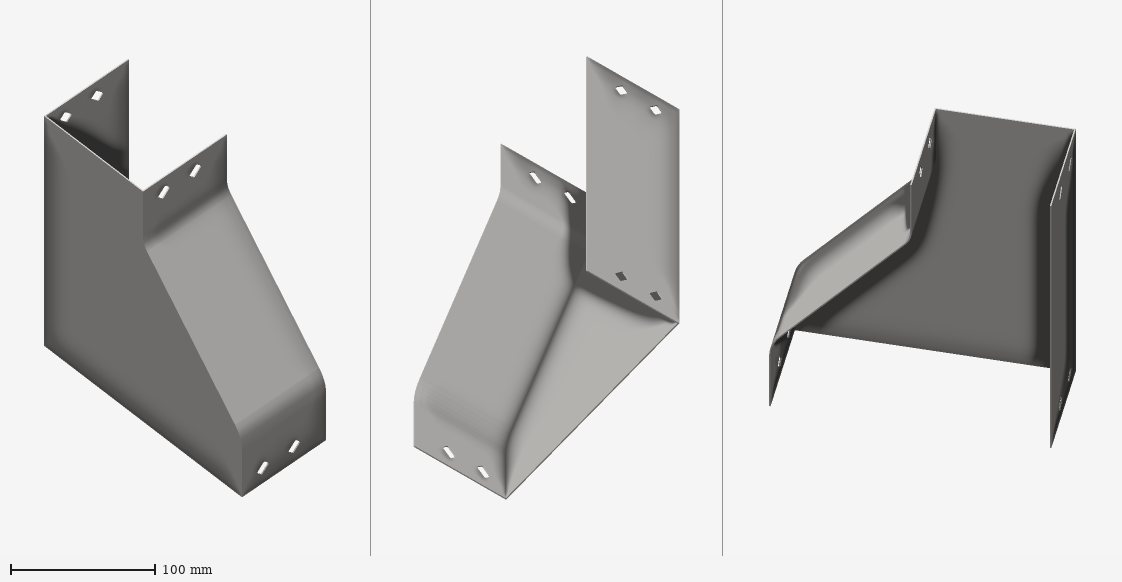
import cadquery as cq
import math

width = 200.0
depth = 80.0
height = 230.0
sheet = 1.0

neck_width = width / 2
lower_corner_z = 58.9
slope_angle = 40.0
upper_corner_z = lower_corner_z + (width - neck_width) / math.tan(math.radians(slope_angle))
neck_radius = 17.0
shoulder_radius = 30.0

slot_width = 7.0
slot_length = 10.0
slot_corner_radius = 1.2
slot_tilt = 45.0
slot_edge_distance = 15.0
lower_slots_z = slot_edge_distance
upper_slots_z = height - slot_edge_distance
slot_columns_y = (20.0, 50.0)


def outer_body():
    """Solid block with the sloping outline and rounded bends."""
    block = (
        cq.Workplane("XZ")
        .moveTo(0, 0)
        .lineTo(width, 0)
        .lineTo(width, lower_corner_z)
        .lineTo(neck_width, upper_corner_z)
        .lineTo(neck_width, height)
        .lineTo(0, height)
        .close()
        .extrude(-depth)
    )
    neck_bend = cq.NearestToPointSelector((neck_width, depth / 2, upper_corner_z))
    block = block.edges(neck_bend).fillet(neck_radius)
    shoulder_bend = cq.NearestToPointSelector((width, depth / 2, lower_corner_z))
    return block.edges(shoulder_bend).fillet(shoulder_radius)


def slot_cutters(wall_x, rows_z, tilt):
    """Slanted round-cornered slots through the wall at wall_x, tilted from +Y towards +Z."""
    centers = [(y, z) for y in slot_columns_y for z in rows_z]
    outline = cq.Sketch().rect(slot_length, slot_width).vertices().fillet(slot_corner_radius)
    return (
        cq.Workplane("YZ", origin=(wall_x, 0, 0))
        .pushPoints(centers)
        .placeSketch(outline.moved(cq.Location(cq.Vector(), cq.Vector(0, 0, 1), tilt)))
        .extrude(2 * sheet, both=True)
    )


body = outer_body()
result = body.faces(">Y or >Z or <Z").shell(-sheet)
result = result.cut(slot_cutters(0, (lower_slots_z, upper_slots_z), -slot_tilt))
result = result.cut(slot_cutters(neck_width, (upper_slots_z,), slot_tilt))
result = result.cut(slot_cutters(width, (lower_slots_z,), slot_tilt))